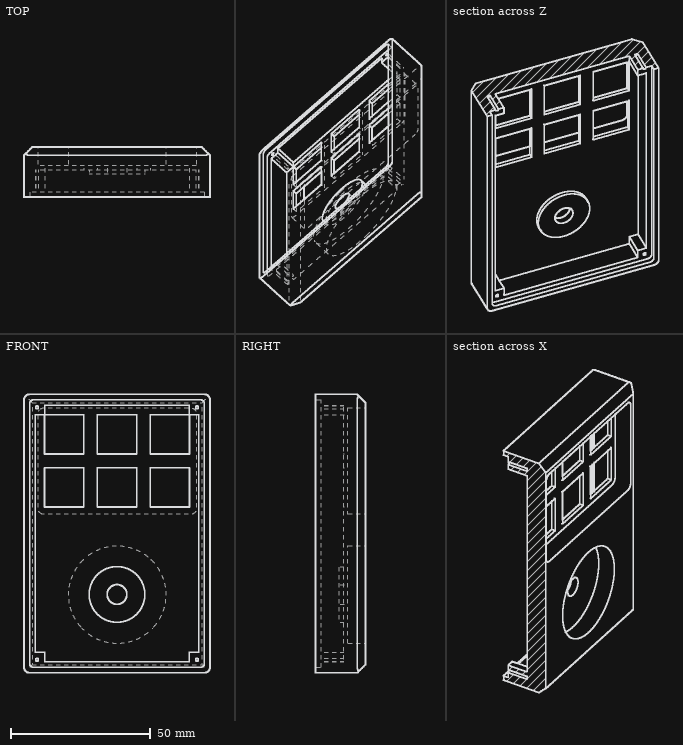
import cadquery as cq

width = 66.8
height = 100.0
depth = 18.0
corner_radius = 2.0
back_chamfer = 3.0

lid_gap = 2.0
lid_seat_width = width - 2 * lid_gap
lid_seat_height = height - 2 * lid_gap
lid_seat_depth = 2.0
lid_seat_radius = 1.5
cavity_wall = 4.0
cavity_width = width - 2 * cavity_wall
cavity_height = height - 2 * cavity_wall
cavity_floor_y = 9.9
cavity_depth = cavity_floor_y - lid_seat_depth

panel_thickness = 1.5
recess_floor_y = cavity_floor_y + panel_thickness
recess_depth = depth - recess_floor_y

key_size = 14.0
key_columns = 3
key_rows = 2
key_pitch = 19.0
key_grid_width = key_pitch * (key_columns - 1) + key_size
key_grid_height = key_pitch * (key_rows - 1) + key_size
key_recess_margin = 2.5
key_recess_radius = 2.0

post_inner_x = key_grid_width / 2
post_size = cavity_width / 2 - post_inner_x
post_inner_z = cavity_height / 2 - post_size
key_grid_z = post_inner_z - key_grid_height / 2

screw_hole_diameter = 1.0
screw_hole_x = (post_inner_x + lid_seat_width / 2) / 2
screw_hole_z = (post_inner_z + lid_seat_height / 2) / 2

knob_z = -21.85
shaft_diameter = 7.0
boss_diameter = 20.0
boss_height = 1.5
knob_recess_diameter = 35.0


def block(size_x, size_z, y_start, length, x=0.0, z=0.0):
    """Rectangular block centred on (x, z) that runs from y_start towards +Y."""
    return cq.Workplane("XY").box(size_x, length, size_z).translate((x, y_start + length / 2, z))


def cylinder(diameter, y_start, length, x=0.0, z=0.0):
    """Round bar along Y centred on (x, z) that runs from y_start towards +Y."""
    start = cq.Vector(x, y_start, z)
    return cq.Workplane(cq.Solid.makeCylinder(diameter / 2, length, start, cq.Vector(0, 1, 0)))


def outer_body():
    """Block with a chamfered back and rounded corners; the rounding also trims the chamfer."""
    chamfered = block(width, height, 0, depth).faces(">Y").chamfer(back_chamfer)
    rounded = block(width, height, 0, depth).edges("|Y").fillet(corner_radius)
    return chamfered.intersect(rounded)


def cavity():
    """Lid seat and cavity, with the four corner posts left standing."""
    seat = block(lid_seat_width, lid_seat_height, 0, lid_seat_depth)
    seat = seat.edges("|Y").fillet(lid_seat_radius)
    pocket = block(cavity_width, cavity_height, lid_seat_depth, cavity_depth)
    post_x = (cavity_width - post_size) / 2
    post_z = (cavity_height - post_size) / 2
    for side_x in (-1, 1):
        for side_z in (-1, 1):
            x = side_x * post_x
            z = side_z * post_z
            pocket = pocket.cut(block(post_size, post_size, lid_seat_depth, cavity_depth, x, z))
    return seat.union(pocket)


def cut_screw_holes(body):
    """Screw holes along the length of the corner posts."""
    for side_x in (-1, 1):
        for side_z in (-1, 1):
            x = side_x * screw_hole_x
            z = side_z * screw_hole_z
            body = body.cut(cylinder(screw_hole_diameter, lid_seat_depth, cavity_depth, x, z))
    return body


def cut_keys(body):
    """Key windows through the panel, all inside one rounded recess in the back."""
    recess_width = key_grid_width + 2 * key_recess_margin
    recess_height = key_grid_height + 2 * key_recess_margin
    recess = block(recess_width, recess_height, recess_floor_y, recess_depth, z=key_grid_z)
    body = body.cut(recess.edges("|Y").fillet(key_recess_radius))
    for column in range(key_columns):
        for row in range(key_rows):
            x = (column - (key_columns - 1) / 2) * key_pitch
            z = key_grid_z + (row - (key_rows - 1) / 2) * key_pitch
            body = body.cut(block(key_size, key_size, cavity_floor_y, panel_thickness, x, z))
    return body


def add_knob_mount(body):
    """Boss on the cavity floor, recess behind it and a shaft hole through both."""
    boss_face_y = cavity_floor_y - boss_height
    body = body.union(cylinder(boss_diameter, boss_face_y, boss_height, z=knob_z))
    body = body.cut(cylinder(knob_recess_diameter, recess_floor_y, recess_depth, z=knob_z))
    return body.cut(cylinder(shaft_diameter, boss_face_y, boss_height + panel_thickness, z=knob_z))


body = outer_body().cut(cavity())
body = cut_screw_holes(body)
body = cut_keys(body)
result = add_knob_mount(body)